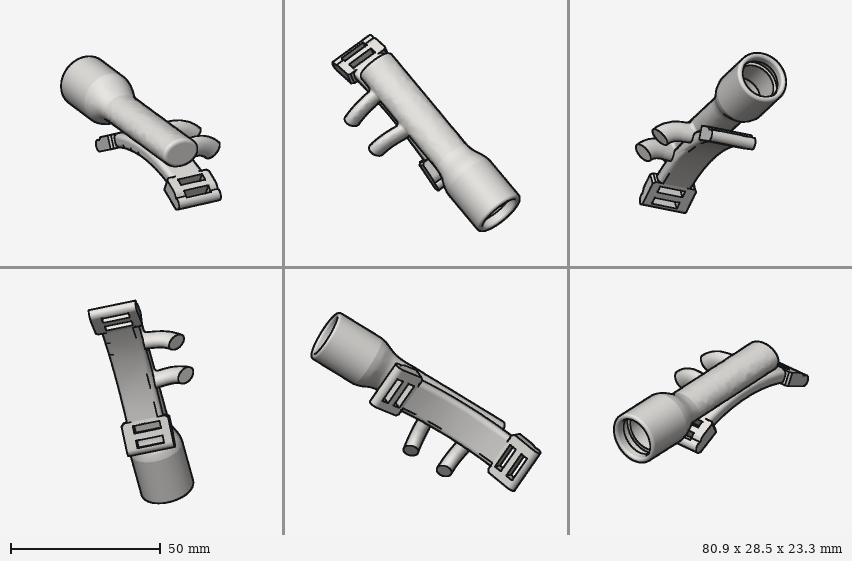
import math

import cadquery as cq

SOCKET_RADIUS = 9.0
SOCKET_LENGTH = 16.9
SOCKET_BORE_RADIUS = 7.0
MOUTH_ROUNDING = 0.999
RECESS_RADIUS = 16.52 / 2
RECESS_START = 3.4
RECESS_END = 6.8

NECK_SECTIONS = [
    (SOCKET_LENGTH, SOCKET_RADIUS, SOCKET_RADIUS, 0.0),
    (18.9, 8.62, 8.46, 0.0),
    (23.2, 7.0, 5.72, 0.12),
]
NECK_END = 26.2
NECK_OVERLAP = 1.0
NECK_BORE_RADIUS = 5.2
NECK_BORE_X = 22.0

TUBE_HALF_WIDTH = 6.55
TUBE_HALF_HEIGHT = 5.0
TUBE_END = 68.1
TUBE_WALL = 2.0
TUBE_RISE = 0.4
TUBE_END_FILLET = 1.2
CAVITY_END_FILLET = 1.0

BOW_X = 52.0
BOW_WIDTH = 12.3
BOW_TOP_Z = -2.48
BOW_BOTTOM_Z = -7.08
BOW_EDGE_FILLET = 1.6

CLIP_TILT = math.radians(26.6)
CLIP_WIDTH = 16.0
NOSE_RADIUS = 2.0
NOSE_X = 78.9
NOSE_Z = -12.29
CLIP_LENGTH = 9.17
CLIP_TOP = 2.77
CLIP_SHOULDER = 3.46
SHOULDER_DROP = 0.4
SHOULDER_RUN = 1.44
NOTCH_CORNER = (-1.05, 1.76)
NOSE_START_ANGLE = math.radians(102.4)
CLIP_CHAMFER = 0.8
SLOT_LENGTH = 9.2
SLOT_WIDTH = 2.55
SLOT_CUT_DEPTH = 4 * CLIP_TOP
SLOT_SHIFT_Y = 0.35
SLOT_CENTRES = (-6.45, -1.45)

HOOK_SPACING = 15.6
HOOK_ROOT_Y = 5.0
HOOK_BEND_Y = 9.73
HOOK_Z = -2.8
HOOK_BEND_RADIUS = 9.9
HOOK_BEND_ANGLE = 47.4
HOOK_WIDTH = 5.0
HOOK_HEIGHT = 6.9
HOOK_LEAN = 6.4
HOOK_ROOT_FILLET = 1.0
HOOK_ROOT_MARGIN = 0.2


def oval(x, half_width, half_height, centre_z):
    """Ellipse wire in the plane at x."""
    plane = cq.Plane(origin=(x, 0, centre_z), xDir=(0, 1, 0), normal=(1, 0, 0))
    return cq.Workplane(plane).ellipse(half_width, half_height).wires().val()


def loft(sections, ruled=False):
    return cq.Workplane(cq.Solid.makeLoft([oval(*section) for section in sections], ruled))


def cylinder(radius, start, end):
    return cq.Workplane("YZ", origin=(start, 0, 0)).circle(radius).extrude(end - start)


def tube_section(x, wall):
    """Section of the oval tube, inset by wall."""
    rise = TUBE_RISE * ((x - NECK_END) / (TUBE_END - NECK_END) - 0.5)
    return (x, TUBE_HALF_WIDTH - wall, TUBE_HALF_HEIGHT - wall, rise)


def make_body():
    socket = cylinder(SOCKET_RADIUS, 0, SOCKET_LENGTH)
    socket = socket.cut(cylinder(SOCKET_BORE_RADIUS, 0, RECESS_START))
    socket = socket.faces("<X").edges().fillet(MOUTH_ROUNDING)
    tube_start = tube_section(NECK_END, 0)
    lead_in = (SOCKET_LENGTH - NECK_OVERLAP, SOCKET_RADIUS, SOCKET_RADIUS, 0)
    run_out = tube_section(NECK_END + NECK_OVERLAP, 0)
    neck = loft([lead_in] + NECK_SECTIONS + [tube_start, run_out])
    neck = neck.intersect(cylinder(2 * SOCKET_RADIUS, SOCKET_LENGTH, NECK_END))
    tube = loft([tube_start, tube_section(TUBE_END, 0)], ruled=True)
    tube = tube.faces(">X").edges().fillet(TUBE_END_FILLET)
    return socket.union(neck).union(tube)


def make_cavity():
    bore = cylinder(SOCKET_BORE_RADIUS, 0, SOCKET_LENGTH)
    recess = cylinder(RECESS_RADIUS, RECESS_START, RECESS_END)
    tube_start = tube_section(NECK_END, TUBE_WALL)
    bore_end = (SOCKET_LENGTH, SOCKET_BORE_RADIUS, SOCKET_BORE_RADIUS, 0)
    throat = (NECK_BORE_X, NECK_BORE_RADIUS, NECK_BORE_RADIUS, 0)
    neck = loft([bore_end, throat, tube_start], ruled=True)
    tube = loft([tube_start, tube_section(TUBE_END - TUBE_WALL, TUBE_WALL)], ruled=True)
    tube = tube.faces(">X").edges().fillet(CAVITY_END_FILLET)
    return bore.union(recess).union(neck).union(tube)


def clip_point(along, across):
    """(x, z) of a point in the clip's tilted frame, measured from the nose centre."""
    x = NOSE_X + along * math.cos(CLIP_TILT) + across * math.sin(CLIP_TILT)
    z = NOSE_Z - along * math.sin(CLIP_TILT) + across * math.cos(CLIP_TILT)
    return x, z


def make_bow():
    right_top = clip_point(-CLIP_LENGTH, CLIP_TOP)
    right_bottom = clip_point(-CLIP_LENGTH, -NOSE_RADIUS)
    left_top = (2 * BOW_X - right_top[0], right_top[1])
    left_bottom = (2 * BOW_X - right_bottom[0], right_bottom[1])
    bow = (
        cq.Workplane("XZ")
        .moveTo(*left_top)
        .threePointArc((BOW_X, BOW_TOP_Z), right_top)
        .lineTo(*right_bottom)
        .threePointArc((BOW_X, BOW_BOTTOM_Z), left_bottom)
        .close()
        .extrude(BOW_WIDTH / 2, both=True)
    )
    return bow.faces("<Y or >Y").edges("%CIRCLE").fillet(BOW_EDGE_FILLET)


def make_clip():
    plane = cq.Plane(
        origin=(NOSE_X, 0, NOSE_Z),
        xDir=(math.cos(CLIP_TILT), 0, -math.sin(CLIP_TILT)),
        normal=(0, -1, 0),
    )
    nose_start = (NOSE_RADIUS * math.cos(NOSE_START_ANGLE), NOSE_RADIUS * math.sin(NOSE_START_ANGLE))
    clip = (
        cq.Workplane(plane)
        .moveTo(-CLIP_LENGTH, -NOSE_RADIUS)
        .lineTo(-CLIP_LENGTH, CLIP_TOP)
        .lineTo(-CLIP_SHOULDER, CLIP_TOP)
        .tangentArcPoint((SHOULDER_RUN, -SHOULDER_DROP))
        .lineTo(*NOTCH_CORNER)
        .lineTo(*nose_start)
        .threePointArc((NOSE_RADIUS, 0), (0, -NOSE_RADIUS))
        .close()
        .extrude(CLIP_WIDTH / 2, both=True)
    )
    inner_face = cq.DirectionMinMaxSelector(plane.xDir, False)
    clip = clip.faces(inner_face).edges("not |Y").chamfer(CLIP_CHAMFER)
    for centre in SLOT_CENTRES:
        slot = cq.Workplane(plane).center(centre, 0)
        slot = slot.box(SLOT_WIDTH, SLOT_CUT_DEPTH, SLOT_LENGTH)
        clip = clip.cut(slot.translate((0, SLOT_SHIFT_Y, 0)))
    return clip


def make_hook():
    """Hook on the -X side of the bow's middle, leaning toward it."""
    x = BOW_X - HOOK_SPACING / 2
    bend = math.radians(HOOK_BEND_ANGLE)
    root = cq.Workplane("XZ", origin=(x, HOOK_ROOT_Y, HOOK_Z)).ellipse(HOOK_WIDTH / 2, HOOK_HEIGHT / 2)
    path = (
        cq.Workplane("YZ", origin=(x, 0, 0))
        .moveTo(HOOK_ROOT_Y, HOOK_Z)
        .lineTo(HOOK_BEND_Y, HOOK_Z)
        .tangentArcPoint(
            (HOOK_BEND_RADIUS * math.sin(bend), -HOOK_BEND_RADIUS * (1 - math.cos(bend)))
        )
    )
    hook = root.sweep(path)
    pivot = (x, TUBE_HALF_WIDTH, 0)
    return hook.rotate(pivot, (x, TUBE_HALF_WIDTH, 1), -HOOK_LEAN)


def add_hooks(body):
    """Body with both hooks, their roots blended into the tube."""
    hook = make_hook()
    joined = body.union(hook).union(mirrored(hook))
    near_tube = cq.selectors.BoxSelector(
        (BOW_X - HOOK_SPACING, HOOK_ROOT_Y, HOOK_Z - HOOK_HEIGHT),
        (BOW_X + HOOK_SPACING, TUBE_HALF_WIDTH + HOOK_ROOT_MARGIN, HOOK_Z + HOOK_HEIGHT),
    )
    return joined.edges(near_tube).fillet(HOOK_ROOT_FILLET)


def mirrored(half):
    """Copy of half on the other side of the bow's middle plane."""
    return half.mirror("YZ", (BOW_X, 0, 0))


clip = make_clip()
result = add_hooks(make_body())
result = result.union(make_bow()).union(clip).union(mirrored(clip))
result = result.cut(make_cavity())